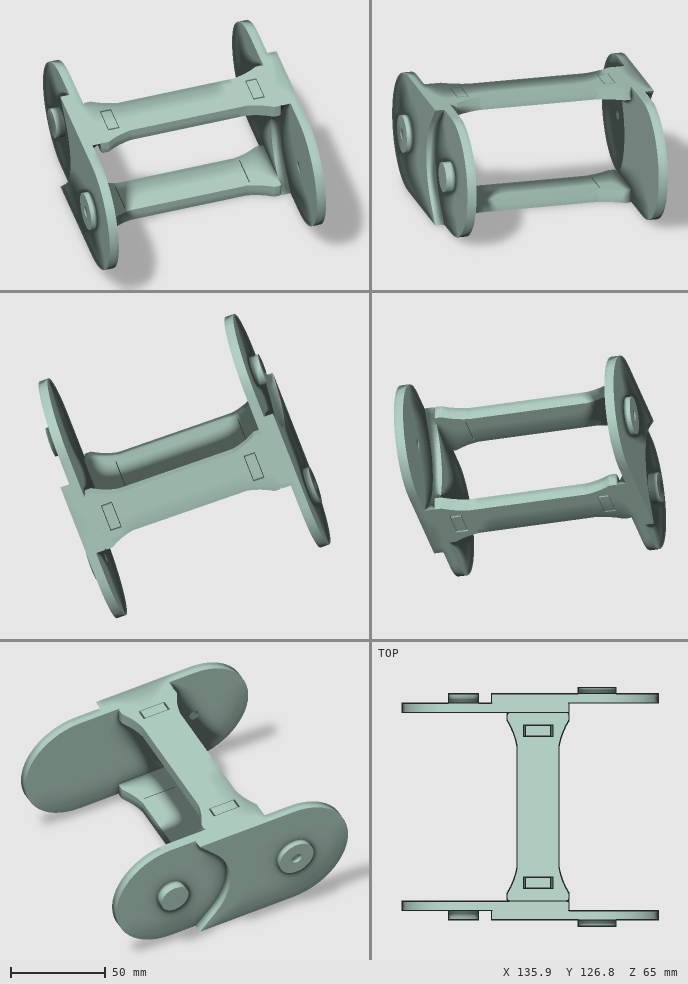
import cadquery as cq
import math


LENGTH = 135.9
HEIGHT = 65.0
WIDTH = 126.8

PLATE_THICKNESS = 5.0
INNER_SPAN = 100.0
END_RADIUS = HEIGHT / 2
PIVOT_X = LENGTH / 2 - END_RADIUS
END_CLEARANCE = 0.5
HOLLOW_RADIUS = END_RADIUS + END_CLEARANCE
TIP_SETBACK = 14.8
PIN_DIAMETER = 16.0
BOSS_DIAMETER = 20.3
PIVOT_HOLE_DIAMETER = 6.0

INNER_FACE_Y = INNER_SPAN / 2
STEP_FACE_Y = INNER_FACE_Y + PLATE_THICKNESS
OUTER_FACE_Y = STEP_FACE_Y + PLATE_THICKNESS
BOSS_FACE_Y = WIDTH / 2

BAR_THICKNESS = 7.0
BAR_END_WIDTH = 33.0
BAR_WAIST_WIDTH = 22.4
BAR_CORNER_RADIUS = 1.4
FLARE_START = 4.1
FLARE_END = 17.8
FLARE_RADIUS = 38.0
BAR_CENTER_X = PIVOT_X - TIP_SETBACK - BAR_END_WIDTH / 2
BAR_INNER_Z = HEIGHT / 2 - BAR_THICKNESS

RECESS_LENGTH = 15.8
RECESS_WIDTH = 18.1
RECESS_DEPTH = BAR_THICKNESS / 2
TONGUE_END_GAP = 0.5
WINDOW_LENGTH = 6.3
WINDOW_WIDTH = 15.6
WINDOW_SETBACK = 9.7
WINDOW_CENTER_Y = INNER_FACE_Y - WINDOW_SETBACK
CATCH_SIDE_GAP = 1.1
CATCH_END_GAP = 0.4


def box_between(x_size, y_low, y_high, z_low, z_high):
    """Box centred on the crossbars in X, between the given Y and Z limits."""
    return (
        cq.Workplane("XY", origin=(BAR_CENTER_X, (y_low + y_high) / 2, z_low))
        .rect(x_size, y_high - y_low)
        .extrude(z_high - z_low)
    )


def cylinder_along_y(x, diameter, y_start, y_end):
    """Round bar at height zero that runs along Y."""
    return (
        cq.Workplane("XZ", origin=(x, y_start, 0))
        .circle(diameter / 2)
        .extrude(y_start - y_end)
    )


def link_plate(y_start):
    """Plate with a round end on the -X pivot and a hollow end around the +X pivot."""
    tip_distance = math.hypot(TIP_SETBACK, END_RADIUS)
    tangent_angle = math.atan2(END_RADIUS, TIP_SETBACK) - math.acos(HOLLOW_RADIUS / tip_distance)
    tip_x = PIVOT_X - TIP_SETBACK
    arc_end_x = PIVOT_X - HOLLOW_RADIUS * math.cos(tangent_angle)
    arc_end_z = HOLLOW_RADIUS * math.sin(tangent_angle)
    return (
        cq.Workplane("XZ", origin=(0, y_start, 0))
        .moveTo(-PIVOT_X, END_RADIUS)
        .lineTo(tip_x, END_RADIUS)
        .lineTo(arc_end_x, arc_end_z)
        .threePointArc((PIVOT_X - HOLLOW_RADIUS, 0), (arc_end_x, -arc_end_z))
        .lineTo(tip_x, -END_RADIUS)
        .lineTo(-PIVOT_X, -END_RADIUS)
        .threePointArc((-PIVOT_X - END_RADIUS, 0), (-PIVOT_X, END_RADIUS))
        .close()
        .extrude(-PLATE_THICKNESS)
    )


def snap_tongue():
    """Tongue and catch that hold the upper crossbar on the +Y side plate."""
    tongue = box_between(
        RECESS_WIDTH,
        INNER_FACE_Y - RECESS_LENGTH + TONGUE_END_GAP,
        INNER_FACE_Y,
        BAR_INNER_Z,
        BAR_INNER_Z + RECESS_DEPTH,
    )
    half_catch = WINDOW_LENGTH / 2 - CATCH_END_GAP
    catch = box_between(
        WINDOW_WIDTH - 2 * CATCH_SIDE_GAP,
        WINDOW_CENTER_Y - half_catch,
        WINDOW_CENTER_Y + half_catch,
        BAR_INNER_Z + RECESS_DEPTH,
        HEIGHT / 2,
    )
    return tongue.union(catch)


def make_side_plate():
    """Side plate on the +Y side, with its pin, pivot boss and two tongues."""
    inner_plate = link_plate(INNER_FACE_Y)
    outer_plate = link_plate(STEP_FACE_Y).mirror("YZ")
    pin = cylinder_along_y(-PIVOT_X, PIN_DIAMETER, STEP_FACE_Y, OUTER_FACE_Y)
    boss = cylinder_along_y(PIVOT_X, BOSS_DIAMETER, OUTER_FACE_Y, BOSS_FACE_Y)
    pivot_hole = cylinder_along_y(PIVOT_X, PIVOT_HOLE_DIAMETER, STEP_FACE_Y, BOSS_FACE_Y)
    upper_tongue = snap_tongue()
    lower_tongue = upper_tongue.mirror("XY")
    return (
        inner_plate.union(outer_plate)
        .union(pin)
        .union(boss)
        .union(upper_tongue)
        .union(lower_tongue)
        .cut(pivot_hole)
    )


def crossbar_blank():
    """Upper crossbar outline, wide at both ends and narrow between, without its recesses."""
    half_end = BAR_END_WIDTH / 2
    half_waist = BAR_WAIST_WIDTH / 2
    flare_y = INNER_FACE_Y - FLARE_START
    waist_y = INNER_FACE_Y - FLARE_END
    return (
        cq.Workplane("XY", origin=(BAR_CENTER_X, 0, BAR_INNER_Z))
        .moveTo(-half_end, INNER_FACE_Y)
        .lineTo(half_end, INNER_FACE_Y)
        .lineTo(half_end, flare_y)
        .radiusArc((half_waist, waist_y), -FLARE_RADIUS)
        .lineTo(half_waist, -waist_y)
        .radiusArc((half_end, -flare_y), -FLARE_RADIUS)
        .lineTo(half_end, -INNER_FACE_Y)
        .lineTo(-half_end, -INNER_FACE_Y)
        .lineTo(-half_end, -flare_y)
        .radiusArc((-half_waist, -waist_y), -FLARE_RADIUS)
        .lineTo(-half_waist, waist_y)
        .radiusArc((-half_end, flare_y), -FLARE_RADIUS)
        .close()
        .extrude(BAR_THICKNESS)
        .edges("|Z and (<X or >X)")
        .fillet(BAR_CORNER_RADIUS)
    )


def snap_opening():
    """Recess and window that receive the tongue at the +Y end of the upper crossbar."""
    recess = box_between(
        RECESS_WIDTH,
        INNER_FACE_Y - RECESS_LENGTH,
        INNER_FACE_Y,
        BAR_INNER_Z,
        BAR_INNER_Z + RECESS_DEPTH,
    )
    window = box_between(
        WINDOW_WIDTH,
        WINDOW_CENTER_Y - WINDOW_LENGTH / 2,
        WINDOW_CENTER_Y + WINDOW_LENGTH / 2,
        BAR_INNER_Z,
        HEIGHT / 2,
    )
    return recess.union(window)


def make_crossbar():
    """Upper crossbar with a snap opening at each end."""
    opening = snap_opening()
    return crossbar_blank().cut(opening).cut(opening.mirror("XZ"))


back_plate = make_side_plate()
front_plate = back_plate.mirror("XZ")
side_plates = [back_plate, front_plate]

upper_crossbar = make_crossbar()
lower_crossbar = upper_crossbar.mirror("XY")
crossbars = [upper_crossbar, lower_crossbar]

result = cq.Compound.makeCompound([body.val() for body in side_plates + crossbars])